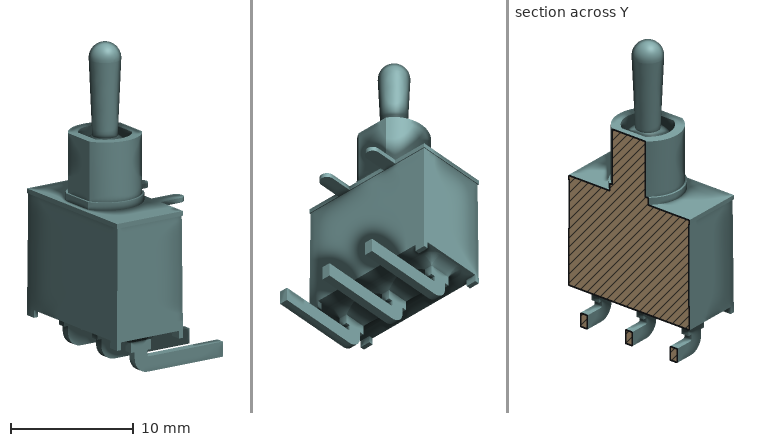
import cadquery as cq
import math


overall_depth = 11.48
overall_height = 26.9

plate_length = 12.7
plate_width = 6.58
plate_thickness = 0.4
tab_width = 1.25
tab_spacing = 5.04
tab_reach = 5.95

case_bottom_z = -10.76
case_length_top = 12.56
case_width_top = 6.42
foot_length = 0.97
foot_width = 0.41
foot_height = 0.65
case_floor_z = case_bottom_z + foot_height

bushing_height = 5.73
bushing_diameter = 6.05
bushing_flats = 5.25
collar_height = 0.65
collar_diameter = 6.4
collar_flats = 5.6
bore_diameter = 4.43
bore_flats = 3.72

ball_radius = 2.3
ball_center_z = 3.43
lever_root_diameter = 1.91
lever_tip_z = 13.4
lever_top_diameter = 2.66
dome_height = 1.42

terminal_count = 3
terminal_pitch = 4.7
terminal_thickness = 0.75
shoulder_width = 2.03
shoulder_bottom_z = -11.64
leg_width = 1.25
arm_height = 1.29
arm_bottom_z = lever_tip_z - overall_height
arm_end_y = overall_depth - plate_width / 2
bend_outer_radius = 1.3
bend_inner_radius = 0.15

seal_flare = 1.05
seal_flank_sag = 0.12
seal_web_thickness = 0.17


def double_flat_cylinder(diameter, flats, bottom_z, height):
    """Vertical cylinder with two flats facing -Y and +Y."""
    cylinder = cq.Workplane("XY").workplane(offset=bottom_z).circle(diameter / 2).extrude(height)
    slab = cq.Workplane("XY").workplane(offset=bottom_z).rect(diameter, flats).extrude(height)
    return cylinder.intersect(slab)


def make_plate():
    plate = cq.Workplane("XY").rect(plate_length, plate_width).extrude(-plate_thickness)
    tab_end_y = tab_reach - tab_width / 2
    for side in (-1, 1):
        x = side * tab_spacing / 2
        strip = (
            cq.Workplane("XY")
            .center(x, tab_end_y / 2)
            .rect(tab_width, tab_end_y)
            .extrude(-plate_thickness)
        )
        tip = cq.Workplane("XY").center(x, tab_end_y).circle(tab_width / 2).extrude(-plate_thickness)
        plate = plate.union(strip).union(tip)
    return plate


def make_case():
    case = (
        cq.Workplane("XY")
        .workplane(offset=case_bottom_z)
        .rect(plate_length, plate_width)
        .workplane(offset=-plate_thickness - case_bottom_z)
        .rect(case_length_top, case_width_top)
        .loft(ruled=True)
    )
    base = cq.Workplane("XY").workplane(offset=case_bottom_z)
    lengthwise = base.rect(plate_length, plate_width - 2 * foot_width).extrude(foot_height)
    crosswise = base.rect(plate_length - 2 * foot_length, plate_width).extrude(foot_height)
    return case.cut(lengthwise).cut(crosswise)


def make_bushing():
    collar = double_flat_cylinder(collar_diameter, collar_flats, 0, collar_height)
    barrel = double_flat_cylinder(bushing_diameter, bushing_flats, 0, bushing_height)
    bore = double_flat_cylinder(bore_diameter, bore_flats, ball_center_z, bushing_height - ball_center_z)
    return collar.union(barrel).cut(bore)


def make_lever():
    """Tapered stem with a spherical tip, standing on a ball seated in the bore."""
    stem_top_radius = lever_top_diameter / 2
    dome_radius = (stem_top_radius**2 + dome_height**2) / (2 * dome_height)
    dome_center_z = lever_tip_z - dome_radius
    dome_middle = dome_radius * math.sqrt(0.5)
    stem = (
        cq.Workplane("XZ")
        .moveTo(0, ball_center_z)
        .lineTo(lever_root_diameter / 2, ball_center_z)
        .lineTo(stem_top_radius, lever_tip_z - dome_height)
        .threePointArc((dome_middle, dome_center_z + dome_middle), (0, lever_tip_z))
        .close()
        .revolve(360, (0, 0, 0), (0, 1, 0))
    )
    bore_space = double_flat_cylinder(bore_diameter, bore_flats, 0, bushing_height)
    ball = cq.Workplane("XY").sphere(ball_radius).translate((0, 0, ball_center_z)).intersect(bore_space)
    return stem.union(ball)


def make_terminal(x):
    arm_top_z = arm_bottom_z + arm_height
    leg_front_y = -leg_width / 2
    leg_back_y = leg_width / 2
    outer_center = (leg_front_y + bend_outer_radius, arm_bottom_z + bend_outer_radius)
    inner_center = (leg_back_y + bend_inner_radius, arm_top_z + bend_inner_radius)
    outer_middle = bend_outer_radius * math.sqrt(0.5)
    inner_middle = bend_inner_radius * math.sqrt(0.5)
    return (
        cq.Workplane("YZ")
        .workplane(offset=x - terminal_thickness / 2)
        .moveTo(-shoulder_width / 2, case_floor_z)
        .lineTo(-shoulder_width / 2, shoulder_bottom_z)
        .lineTo(leg_front_y, shoulder_bottom_z)
        .lineTo(leg_front_y, outer_center[1])
        .threePointArc(
            (outer_center[0] - outer_middle, outer_center[1] - outer_middle),
            (outer_center[0], arm_bottom_z),
        )
        .lineTo(arm_end_y, arm_bottom_z)
        .lineTo(arm_end_y, arm_top_z)
        .lineTo(inner_center[0], arm_top_z)
        .threePointArc(
            (inner_center[0] - inner_middle, inner_center[1] - inner_middle),
            (leg_back_y, inner_center[1]),
        )
        .lineTo(leg_back_y, shoulder_bottom_z)
        .lineTo(shoulder_width / 2, shoulder_bottom_z)
        .lineTo(shoulder_width / 2, case_floor_z)
        .close()
        .extrude(terminal_thickness)
    )


def flared_profile(plane, half_width):
    """Closed outline with a flat bottom and concave flanks that spread up to the case floor."""
    top_half_width = half_width + seal_flare
    return (
        plane.moveTo(-top_half_width, case_floor_z)
        .sagittaArc((-half_width, case_bottom_z), seal_flank_sag)
        .lineTo(half_width, case_bottom_z)
        .sagittaArc((top_half_width, case_floor_z), seal_flank_sag)
        .close()
    )


def make_flare_corner(x, y):
    """Flare revolved about a vertical edge of an outer terminal."""
    return (
        cq.Workplane("XZ")
        .moveTo(0, case_floor_z)
        .lineTo(0, case_bottom_z)
        .sagittaArc((seal_flare, case_floor_z), seal_flank_sag)
        .close()
        .revolve(360, (0, 0, 0), (0, 1, 0))
        .translate((x, y, 0))
    )


def make_seal():
    """Block flared on all four sides and scooped out between the terminals."""
    half_length = ((terminal_count - 1) * terminal_pitch + terminal_thickness) / 2
    half_width = shoulder_width / 2
    seal = flared_profile(cq.Workplane("YZ"), half_width).extrude(half_length, both=True)
    ends = flared_profile(cq.Workplane("XZ"), half_length).extrude(half_width, both=True)
    seal = seal.union(ends)
    for x in (-half_length, half_length):
        for y in (-half_width, half_width):
            seal = seal.union(make_flare_corner(x, y))
    half_span = (terminal_pitch - terminal_thickness) / 2
    arch_rise = foot_height - seal_web_thickness
    for gap in range(terminal_count - 1):
        x = (gap - (terminal_count - 2) / 2) * terminal_pitch
        scoop = (
            cq.Workplane("XZ")
            .moveTo(x - half_span, case_bottom_z)
            .threePointArc((x, case_bottom_z + arch_rise), (x + half_span, case_bottom_z))
            .close()
            .extrude(plate_width / 2, both=True)
        )
        seal = seal.cut(scoop)
    return seal


result = make_plate()
for body in (make_case(), make_bushing(), make_lever(), make_seal()):
    result = result.union(body)
for index in range(terminal_count):
    terminal_x = (index - (terminal_count - 1) / 2) * terminal_pitch
    result = result.union(make_terminal(terminal_x))